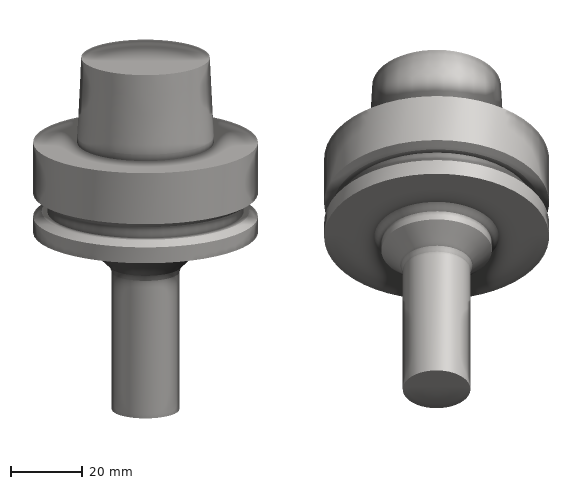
import cadquery as cq

total_height = 102.5

shank_diameter = 19.0
neck_cone_small_diameter = 20.1
neck_diameter = 31.0
neck_root_diameter = 34.8
flange_diameter = 63.0
groove_mouth_diameter = 58.2
groove_floor_diameter = 55.0
collar_diameter = 38.3
spigot_top_diameter = 36.1

shank_top = 40.1
neck_cone_bottom = 41.7
neck_bottom = 46.9
neck_top = 49.7

flange_bottom = 51.6
flange_top = 77.8
groove_bottom = 57.7
groove_top = 61.4
groove_bevel_height = 1.5

collar_height = 1.8


def frustum(bottom_z, top_z, bottom_diameter, top_diameter):
    """Solid cone frustum, or cylinder, about the Z axis."""
    half_profile = [
        (0, bottom_z),
        (bottom_diameter / 2, bottom_z),
        (top_diameter / 2, top_z),
        (0, top_z),
    ]
    return cq.Workplane("XZ").polyline(half_profile).close().revolve(360, (0, 0), (0, 1))


def cylinder(bottom_z, top_z, diameter):
    return frustum(bottom_z, top_z, diameter, diameter)


shank = cylinder(0, shank_top, shank_diameter)
neck = (
    frustum(shank_top, neck_cone_bottom, shank_diameter, neck_cone_small_diameter)
    .union(frustum(neck_cone_bottom, neck_bottom, neck_cone_small_diameter, neck_diameter))
    .union(cylinder(neck_bottom, neck_top, neck_diameter))
    .union(frustum(neck_top, flange_bottom, neck_diameter, neck_root_diameter))
)

lower_bevel_bottom = groove_bottom - groove_bevel_height
upper_bevel_top = groove_top + groove_bevel_height
flange = (
    cylinder(flange_bottom, lower_bevel_bottom, flange_diameter)
    .union(frustum(lower_bevel_bottom, groove_bottom, flange_diameter, groove_mouth_diameter))
    .union(cylinder(groove_bottom, groove_top, groove_floor_diameter))
    .union(frustum(groove_top, upper_bevel_top, groove_mouth_diameter, flange_diameter))
    .union(cylinder(upper_bevel_top, flange_top, flange_diameter))
)

collar_top = flange_top + collar_height
spigot = cylinder(flange_top, collar_top, collar_diameter).union(
    frustum(collar_top, total_height, collar_diameter, spigot_top_diameter)
)

result = shank.union(neck).union(flange).union(spigot)